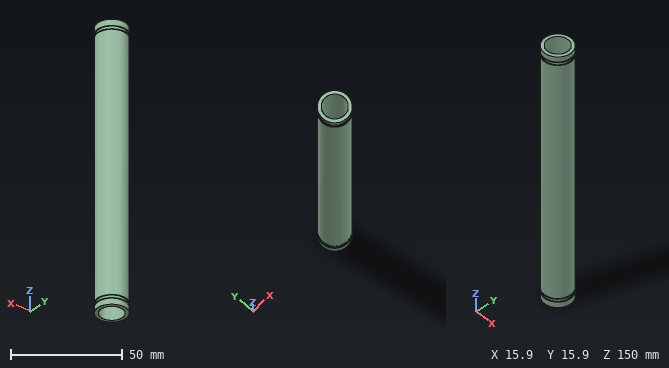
import cadquery as cq

length = 150.0
outer_diameter = 15.9
bore_diameter = 12.2

groove_diameter = 15.0
groove_width = 1.6
end_collar = 3.5


def groove_ring(bottom):
    """Ring of material to remove, with its lower face at the given height."""
    return (
        cq.Workplane("XY", origin=(0, 0, bottom))
        .circle(outer_diameter)
        .circle(groove_diameter / 2)
        .extrude(groove_width)
    )


result = (
    cq.Workplane("XY")
    .circle(outer_diameter / 2)
    .circle(bore_diameter / 2)
    .extrude(length)
)

for groove_bottom in (end_collar, length - end_collar - groove_width):
    result = result.cut(groove_ring(groove_bottom))